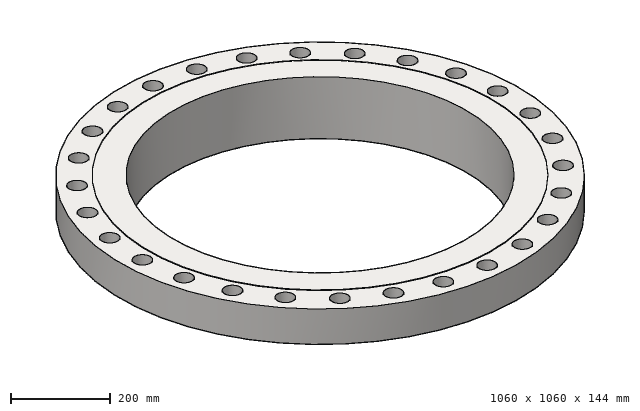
import cadquery as cq
import math

flange_diameter = 1060.0
overall_height = 144.0
flange_thickness = 83.0
bore_diameter = 778.0

face_diameter = 914.0
face_height = 1.6

hub_root_radius = 416.0
hub_tip_radius = 409.0
root_fillet = 13.0
bevel_height = 13.0
weld_lip_width = 3.0

bolt_count = 28
bolt_circle_diameter = 978.0
bolt_hole_diameter = 41.0

flange_top = overall_height - face_height
flange_bottom = flange_top - flange_thickness
bore_radius = bore_diameter / 2


def concave_fillet_points():
    """Start, middle and end of the arc tangent to the hub taper and the flange underside."""
    taper = math.atan2(hub_root_radius - hub_tip_radius, flange_bottom - bevel_height)
    tangent_length = root_fillet * math.tan((math.pi / 2 - taper) / 2)
    center_x = hub_root_radius + tangent_length
    center_z = flange_bottom - root_fillet
    start_angle = math.pi - taper
    end_angle = math.pi / 2

    def arc_point(angle):
        return (
            center_x + root_fillet * math.cos(angle),
            center_z + root_fillet * math.sin(angle),
        )

    middle_angle = (start_angle + end_angle) / 2
    return [arc_point(angle) for angle in (start_angle, middle_angle, end_angle)]


def make_body():
    """Revolve the half section about the Z axis."""
    fillet_start, fillet_middle, fillet_end = concave_fillet_points()
    return (
        cq.Workplane("XZ")
        .moveTo(bore_radius, 0)
        .lineTo(bore_radius + weld_lip_width, 0)
        .lineTo(hub_tip_radius, bevel_height)
        .lineTo(*fillet_start)
        .threePointArc(fillet_middle, fillet_end)
        .lineTo(flange_diameter / 2, flange_bottom)
        .lineTo(flange_diameter / 2, flange_top)
        .lineTo(face_diameter / 2, flange_top)
        .lineTo(face_diameter / 2, overall_height)
        .lineTo(bore_radius, overall_height)
        .close()
        .revolve(360, (0, 0, 0), (0, 1, 0))
    )


def make_bolt_holes():
    """Through holes evenly spaced on the bolt circle, the first one on +X."""
    return (
        cq.Workplane("XY")
        .polarArray(bolt_circle_diameter / 2, 0, 360, bolt_count)
        .circle(bolt_hole_diameter / 2)
        .extrude(overall_height)
    )


result = make_body().cut(make_bolt_holes())